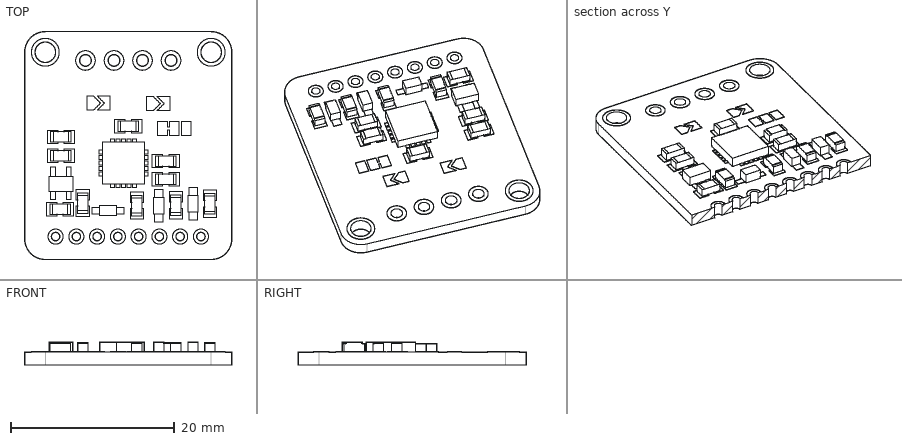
import cadquery as cq

BOARD_X = 25.4
BOARD_Y = 27.95
BOARD_THICKNESS = 1.6
CORNER_RADIUS = 2.55
OVERALL_HEIGHT = 2.82

COPPER_THICKNESS = 0.05
COPPER_TOP = BOARD_THICKNESS + COPPER_THICKNESS

MOUNT_HOLE_DIAMETER = 2.5
MOUNT_RING_DIAMETER = 3.4
MOUNT_X = BOARD_X / 2 - CORNER_RADIUS
MOUNT_Y = BOARD_Y / 2 - CORNER_RADIUS

TERMINAL_COUNT = 4
TERMINAL_PITCH = 3.5
TERMINAL_Y = 10.42
TERMINAL_HOLE_DIAMETER = 1.4
TERMINAL_RING_DIAMETER = 2.4

HEADER_COUNT = 8
HEADER_PITCH = 2.55
HEADER_Y = -11.15
HEADER_HOLE_DIAMETER = 1.0
HEADER_RING_DIAMETER = 1.85

CHIP_LENGTH = 2.51
CHIP_WIDTH = 1.29
CAP_LENGTH = 0.34
CAP_TOP = 2.63
RESISTOR_DROP = 0.015
CAPACITOR_RISE = 0.1
RESISTOR_BODY_TOP = CAP_TOP - RESISTOR_DROP
CAPACITOR_BODY_TOP = CAP_TOP + CAPACITOR_RISE
CHIP_LAND_SPAN = 3.35
CHIP_LAND_LENGTH = 1.29
CHIP_LAND_WIDTH = 1.62

RESISTORS = [
    (0.0, 2.37, 0),
    (-8.25, 1.05, 0),
    (-8.25, -1.25, 0),
    (-8.35, -7.8, 0),
    (4.6, -4.14, 0),
]
CAPACITORS = [
    (4.6, -1.9, 0),
    (-5.55, -7.05, 90),
    (1.05, -7.35, 90),
    (5.85, -7.3, 90),
    (10.0, -7.12, 90),
]

DIODE_LENGTH = 2.07
DIODE_WIDTH = 1.25
DIODE_LEAD_SPAN = 3.97
WIDE_LEAD = 1.03
NARROW_LEAD = 0.78
DIODES = [
    (-2.5, -7.95, 0, NARROW_LEAD),
    (3.75, -7.38, 90, WIDE_LEAD),
    (7.93, -7.12, 90, WIDE_LEAD),
]

TRANSISTOR_X = -8.25
TRANSISTOR_Y = -4.6
TRANSISTOR_LENGTH = 2.93
TRANSISTOR_WIDTH = 1.85
TRANSISTOR_LEAD_WIDTH = 0.6
TRANSISTOR_LEAD_PITCH = 1.93
TRANSISTOR_LEAD_SPAN = 4.0
TRANSISTOR_BODY_OFFSET = -0.1

SENSOR_X = -0.6
SENSOR_Y = -2.15
SENSOR_SIDE = 5.1
SENSOR_LANDS_PER_EDGE = 5
SENSOR_LAND_PITCH = 0.67
SENSOR_LAND_WIDTH = 0.47
SENSOR_LAND_REACH = 0.42

ARROW_JUMPERS = [(-3.63, 5.2), (3.7, 5.15)]
JUMPER_LENGTH = 2.85
JUMPER_WIDTH = 1.7
JUMPER_SHOULDER = 0.8
JUMPER_GAP = 0.47

TRIPLE_JUMPER_X = 5.65
TRIPLE_JUMPER_Y = 2.1
TRIPLE_PITCH = 1.45
TRIPLE_LAND_LENGTH = 1.2
TRIPLE_LAND_WIDTH = 1.7
BRIDGE_WIDTH = 0.34


def block(length, width, top, x=0, y=0, bottom=BOARD_THICKNESS):
    """Block centred on (x, y) from Z = bottom (the board face by default) up to Z = top."""
    height = top - bottom
    solid = cq.Workplane("XY").box(length, width, height, centered=(True, True, False))
    return solid.translate((x, y, bottom))


def land(length, width, x=0, y=0):
    """Rectangular copper land centred on (x, y)."""
    return block(length, width, COPPER_TOP, x, y)


def place(part, x, y, angle):
    """Turn a part about Z, then move it to its place on the board."""
    return part.rotate((0, 0, 0), (0, 0, 1), angle).translate((x, y, 0))


def row(count, pitch):
    """Evenly spaced coordinates, symmetric about zero."""
    return [(i - (count - 1) / 2) * pitch for i in range(count)]


def make_board():
    board = cq.Workplane("XY").box(BOARD_X, BOARD_Y, BOARD_THICKNESS, centered=(True, True, False))
    return board.edges("|Z").fillet(CORNER_RADIUS)


def add_plated_holes(board, points, hole_diameter, ring_diameter):
    """Raise a copper ring at each point and drill through it."""
    rings = (
        cq.Workplane("XY", origin=(0, 0, BOARD_THICKNESS))
        .pushPoints(points)
        .circle(ring_diameter / 2)
        .extrude(COPPER_THICKNESS)
    )
    holes = cq.Workplane("XY").pushPoints(points).circle(hole_diameter / 2).extrude(COPPER_TOP)
    return board.union(rings).cut(holes)


def make_chip_part(body_top):
    """Chip resistor or capacitor lying along X: body and two end caps, resting on two lands."""
    part = block(CHIP_LENGTH - 2 * CAP_LENGTH, CHIP_WIDTH, body_top, bottom=COPPER_TOP)
    cap_x = (CHIP_LENGTH - CAP_LENGTH) / 2
    land_x = (CHIP_LAND_SPAN - CHIP_LAND_LENGTH) / 2
    for side in (-1, 1):
        part = part.union(block(CAP_LENGTH, CHIP_WIDTH, CAP_TOP, side * cap_x, bottom=COPPER_TOP))
        part = part.union(land(CHIP_LAND_LENGTH, CHIP_LAND_WIDTH, side * land_x))
    return part


def make_diode(lead_width):
    """Diode lying along X; its leads run out from under the body."""
    body = block(DIODE_LENGTH, DIODE_WIDTH, OVERALL_HEIGHT)
    return body.union(land(DIODE_LEAD_SPAN, lead_width))


def make_transistor():
    """Body set slightly off the centre of its two lead strips, which run along Y."""
    part = block(TRANSISTOR_LENGTH, TRANSISTOR_WIDTH, OVERALL_HEIGHT, y=TRANSISTOR_BODY_OFFSET)
    for x in row(2, TRANSISTOR_LEAD_PITCH):
        part = part.union(land(TRANSISTOR_LEAD_WIDTH, TRANSISTOR_LEAD_SPAN, x))
    return part


def make_sensor():
    """Sensor package; each land strip passes under it and shows at both edges."""
    part = block(SENSOR_SIDE, SENSOR_SIDE, OVERALL_HEIGHT)
    span = SENSOR_SIDE + 2 * SENSOR_LAND_REACH
    for offset in row(SENSOR_LANDS_PER_EDGE, SENSOR_LAND_PITCH):
        part = part.union(land(SENSOR_LAND_WIDTH, span, offset, 0))
        part = part.union(land(span, SENSOR_LAND_WIDTH, 0, offset))
    return part


def make_arrow_jumper():
    """Pointed land on the -X side, notched land on the +X side, both at 45 degrees."""
    left = -JUMPER_LENGTH / 2
    right = JUMPER_LENGTH / 2
    half_width = JUMPER_WIDTH / 2
    shoulder = left + JUMPER_SHOULDER
    notch = shoulder + JUMPER_GAP
    pointed = [
        (left, -half_width),
        (shoulder, -half_width),
        (shoulder + half_width, 0),
        (shoulder, half_width),
        (left, half_width),
    ]
    notched = [
        (right, -half_width),
        (right, half_width),
        (notch, half_width),
        (notch + half_width, 0),
        (notch, -half_width),
    ]
    plane = cq.Workplane("XY", origin=(0, 0, BOARD_THICKNESS))
    pointed_land = plane.polyline(pointed).close().extrude(COPPER_THICKNESS)
    notched_land = plane.polyline(notched).close().extrude(COPPER_THICKNESS)
    return pointed_land.union(notched_land)


def make_triple_jumper():
    bridge_x = -TRIPLE_PITCH / 2
    part = land(TRIPLE_PITCH, BRIDGE_WIDTH, bridge_x)
    for x in row(3, TRIPLE_PITCH):
        part = part.union(land(TRIPLE_LAND_LENGTH, TRIPLE_LAND_WIDTH, x))
    return part


result = make_board()

mount_points = [(-MOUNT_X, MOUNT_Y), (MOUNT_X, MOUNT_Y)]
terminal_points = [(x, TERMINAL_Y) for x in row(TERMINAL_COUNT, TERMINAL_PITCH)]
header_points = [(x, HEADER_Y) for x in row(HEADER_COUNT, HEADER_PITCH)]
result = add_plated_holes(result, mount_points, MOUNT_HOLE_DIAMETER, MOUNT_RING_DIAMETER)
result = add_plated_holes(result, terminal_points, TERMINAL_HOLE_DIAMETER, TERMINAL_RING_DIAMETER)
result = add_plated_holes(result, header_points, HEADER_HOLE_DIAMETER, HEADER_RING_DIAMETER)

for x, y, angle in RESISTORS:
    result = result.union(place(make_chip_part(RESISTOR_BODY_TOP), x, y, angle))
for x, y, angle in CAPACITORS:
    result = result.union(place(make_chip_part(CAPACITOR_BODY_TOP), x, y, angle))
for x, y, angle, lead_width in DIODES:
    result = result.union(place(make_diode(lead_width), x, y, angle))
result = result.union(place(make_transistor(), TRANSISTOR_X, TRANSISTOR_Y, 0))
result = result.union(place(make_sensor(), SENSOR_X, SENSOR_Y, 0))
for x, y in ARROW_JUMPERS:
    result = result.union(place(make_arrow_jumper(), x, y, 0))
result = result.union(place(make_triple_jumper(), TRIPLE_JUMPER_X, TRIPLE_JUMPER_Y, 0))